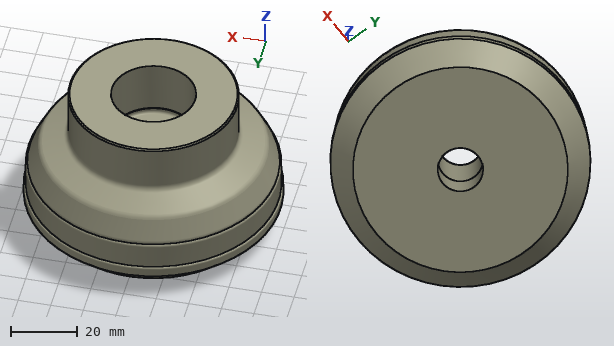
import cadquery as cq
import math

total_height = 45.05
split_height = 9.95

pad_radius = 38.85
pad_bottom_radius = 32.1
pad_cone_height = 6.75

skirt_radius = 76.4 / 2
skirt_round_radius = 0.85
skirt_round_base_height = 17.55
ledge_height = 18.65
step_radius = 37.7
step_round_radius = 1.7
neck_radius = 51.0 / 2
neck_base_height = 31.1
neck_fillet_radius = 2.0
neck_top_chamfer = 0.5
shoulder_round_radius = 2.5
upper_cone_angle = math.radians(23.5)
lower_cone_angle = math.radians(63.0)

through_hole_radius = 13.5 / 2
bore_radius = 25.4 / 2
bore_bottom_height = 28.5
recess_radius = 25.9 / 2
recess_bevel_height = 0.5
recess_floor_height = 26.4
recess_fillet_radius = 0.85


def arc_point(center, radius, angle):
    """Point on a circle in the (radius, height) plane."""
    return (center[0] + radius * math.cos(angle), center[1] + radius * math.sin(angle))


def arc_to(profile, center, radius, start, end):
    """Add the arc between two angles to a profile that ends at the start angle."""
    middle = arc_point(center, radius, (start + end) / 2)
    return profile.threePointArc(middle, arc_point(center, radius, end))


def spin(profile):
    """Revolve a closed (radius, height) profile about Z."""
    return profile.close().revolve(360, (0, 0, 0), (0, 1, 0))


def make_pad():
    lip_radius = pad_radius - skirt_radius
    lip_center = (skirt_radius, split_height - lip_radius)
    profile = (
        cq.Workplane("XZ")
        .moveTo(through_hole_radius, 0)
        .lineTo(pad_bottom_radius, 0)
        .lineTo(pad_radius, pad_cone_height)
        .lineTo(pad_radius, lip_center[1])
    )
    profile = arc_to(profile, lip_center, lip_radius, 0, math.pi / 2)
    profile = profile.lineTo(through_hole_radius, split_height)
    return spin(profile)


def make_housing():
    lower_normal = math.pi / 2 - lower_cone_angle
    upper_normal = math.pi / 2 - upper_cone_angle

    skirt_center = (skirt_radius - skirt_round_radius, skirt_round_base_height)
    skirt_round_end = math.acos((step_radius - skirt_center[0]) / skirt_round_radius)
    step_center = (step_radius - step_round_radius, ledge_height)
    neck_center = (neck_radius + neck_fillet_radius, neck_base_height)
    lower_cone_start = arc_point(step_center, step_round_radius, lower_normal)
    upper_cone_end = arc_point(neck_center, neck_fillet_radius, math.pi + upper_normal)

    recess_fillet_center = (
        recess_radius - recess_fillet_radius,
        recess_floor_height + recess_fillet_radius,
    )

    lower_slope = math.tan(lower_cone_angle)
    upper_slope = math.tan(upper_cone_angle)
    height_gap = upper_cone_end[1] - lower_cone_start[1]
    radius_gap = upper_cone_end[0] - lower_cone_start[0]
    inset = (height_gap + upper_slope * radius_gap) / (lower_slope - upper_slope)
    corner = (lower_cone_start[0] - inset, lower_cone_start[1] + lower_slope * inset)

    bisector = (lower_normal + upper_normal) / 2
    center_distance = shoulder_round_radius / math.cos((upper_normal - lower_normal) / 2)
    shoulder_center = arc_point(corner, -center_distance, bisector)

    profile = (
        cq.Workplane("XZ")
        .moveTo(through_hole_radius, split_height)
        .lineTo(skirt_radius, split_height)
        .lineTo(skirt_radius, skirt_center[1])
    )
    profile = arc_to(profile, skirt_center, skirt_round_radius, 0, skirt_round_end)
    profile = profile.lineTo(step_radius, ledge_height)
    profile = arc_to(profile, step_center, step_round_radius, 0, lower_normal)
    profile = profile.lineTo(*arc_point(shoulder_center, shoulder_round_radius, lower_normal))
    profile = arc_to(profile, shoulder_center, shoulder_round_radius, lower_normal, upper_normal)
    profile = profile.lineTo(*upper_cone_end)
    profile = arc_to(profile, neck_center, neck_fillet_radius, math.pi + upper_normal, math.pi)
    profile = (
        profile.lineTo(neck_radius, total_height - neck_top_chamfer)
        .lineTo(neck_radius - neck_top_chamfer, total_height)
        .lineTo(bore_radius, total_height)
        .lineTo(bore_radius, bore_bottom_height)
        .lineTo(recess_radius, bore_bottom_height - recess_bevel_height)
        .lineTo(recess_radius, recess_fillet_center[1])
    )
    profile = arc_to(profile, recess_fillet_center, recess_fillet_radius, 0, -math.pi / 2)
    profile = profile.lineTo(through_hole_radius, recess_floor_height)
    return spin(profile)


pad = make_pad()
housing = make_housing()
result = cq.Compound.makeCompound([pad.val(), housing.val()])